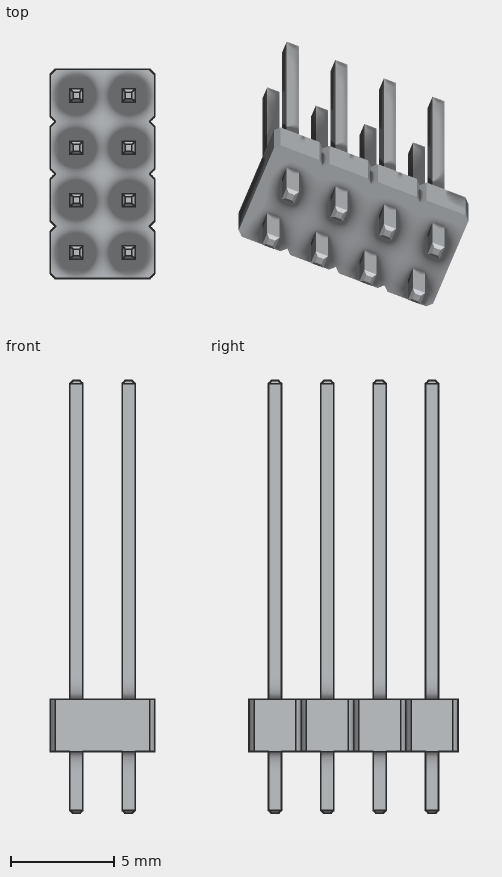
import cadquery as cq

pitch = 2.54
columns = 2
rows = 4

body_width = columns * pitch
body_height = pitch
corner_chamfer = pitch / 10

pin_side = 0.64
pin_length = 21.0
pin_tail = 3.0
tip_chamfer = pin_side / 4


def make_body_row():
    """One row of the body: a block with its four upright edges chamfered."""
    block = cq.Workplane("XY").box(body_width, pitch, body_height, centered=(True, True, False))
    return block.edges("|Z").chamfer(corner_chamfer)


def make_body():
    """Rows joined side by side, so that neighbouring chamfers form the V notches."""
    row_centres = cq.Workplane("XY").rarray(pitch, pitch, 1, rows)
    return row_centres.eachpoint(make_body_row().val(), combine=True).clean()


def make_pin():
    """Square pin with all four edges chamfered at both tips."""
    pin = cq.Workplane("XY").box(pin_side, pin_side, pin_length, centered=(True, True, False))
    pin = pin.faces("<Z or >Z").edges().chamfer(tip_chamfer)
    return pin.translate((0, 0, -pin_tail))


def make_pins():
    """All pins on the pitch grid."""
    pin_centres = cq.Workplane("XY").rarray(pitch, pitch, columns, rows)
    return pin_centres.eachpoint(make_pin().val())


result = make_body().union(make_pins())